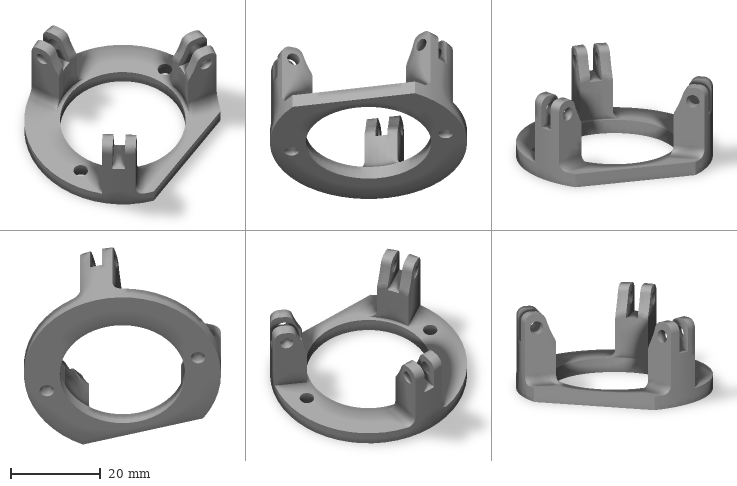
import cadquery as cq
import math

outer_radius = 22.0
bore_diameter = 28.0
flat_x = 17.02
base_height = 3.15
mount_hole_diameter = 3.2
mount_hole_offset = 17.5

total_height = 19.2
lug_inner_radius = 14.95
lug_width = 7.55
round_radius = 2.0
slot_width = 2.73
slot_floor = 12.2
pin_hole_diameter = 3.0
pin_hole_x = 18.95
pin_hole_z = 15.95

nose_x = 18.65
nose_z = total_height - round_radius
nose_end_angle = 163.0
slope_radius = 22.0
slope_sweep = 15.0


def polar_point(center, radius, angle):
    """Point at an angle in degrees, measured from +X, around a center."""
    return (
        center[0] + radius * math.cos(math.radians(angle)),
        center[1] + radius * math.sin(math.radians(angle)),
    )


def make_base():
    """Ring with one flat side and two mounting holes."""
    disc = cq.Workplane("XY").circle(outer_radius).extrude(base_height)
    keep = (
        cq.Workplane("XY")
        .box(outer_radius + flat_x, 2 * outer_radius, base_height, centered=(False, True, False))
        .translate((-outer_radius, 0, 0))
    )
    bore = cq.Workplane("XY").circle(bore_diameter / 2).extrude(base_height)
    mount_holes = (
        cq.Workplane("XY")
        .pushPoints([(0, mount_hole_offset), (0, -mount_hole_offset)])
        .circle(mount_hole_diameter / 2)
        .extrude(base_height)
    )
    return disc.intersect(keep).cut(bore).cut(mount_holes)


def make_lug_band():
    """Annulus that bounds the lugs and their root fillets."""
    return cq.Workplane("XY").circle(outer_radius).circle(lug_inner_radius).extrude(total_height)


def make_lug_body():
    """Solid lug with its sloped inner side and rounded edges."""
    nose = (nose_x, nose_z)
    nose_middle = polar_point(nose, round_radius, (90 + nose_end_angle) / 2)
    nose_end = polar_point(nose, round_radius, nose_end_angle)
    slope_center = polar_point(nose, round_radius + slope_radius, nose_end_angle)
    slope_start_angle = nose_end_angle - 180
    slope_middle = polar_point(slope_center, slope_radius, slope_start_angle - slope_sweep / 2)
    slope_end = polar_point(slope_center, slope_radius, slope_start_angle - slope_sweep)
    body = (
        cq.Workplane("XZ")
        .moveTo(outer_radius, 0)
        .lineTo(outer_radius, total_height)
        .lineTo(nose_x, total_height)
        .threePointArc(nose_middle, nose_end)
        .threePointArc(slope_middle, slope_end)
        .lineTo(slope_end[0], 0)
        .close()
        .extrude(lug_width / 2, both=True)
        .intersect(make_lug_band())
    )
    outer_top_edge = cq.selectors.NearestToPointSelector((outer_radius, 0, total_height))
    inner_slope_edge = cq.selectors.NearestToPointSelector((lug_inner_radius, 0, slope_foot_z(slope_center)))
    body = body.edges(inner_slope_edge).fillet(round_radius)
    return body.edges(outer_top_edge).fillet(round_radius)


def slope_foot_z(slope_center):
    """Height at which the concave slope meets the inner face of the lug."""
    radial_distance = lug_inner_radius - slope_center[0]
    return slope_center[1] - math.sqrt(slope_radius**2 - radial_distance**2)


def make_root_fillet(side):
    """Concave fillet between the base and the lug side at +Y (1) or -Y (-1)."""
    wall_y = side * lug_width / 2
    foot_y = wall_y + side * round_radius
    top_z = base_height + round_radius
    arc_middle = polar_point((foot_y, top_z), round_radius, -90 - side * 45)
    return (
        cq.Workplane("YZ")
        .moveTo(wall_y, 0)
        .lineTo(foot_y, 0)
        .lineTo(foot_y, base_height)
        .threePointArc(arc_middle, (wall_y, top_z))
        .close()
        .extrude(outer_radius)
        .intersect(make_lug_band())
    )


def make_lug(fillet_sides):
    """Slotted and drilled lug on the +X side of the ring."""
    slot = (
        cq.Workplane("XY")
        .box(outer_radius, slot_width, total_height - slot_floor, centered=(False, True, False))
        .translate((0, 0, slot_floor))
    )
    pin_hole = (
        cq.Workplane("XZ")
        .center(pin_hole_x, pin_hole_z)
        .circle(pin_hole_diameter / 2)
        .extrude(lug_width, both=True)
    )
    lug = make_lug_body().cut(slot).cut(pin_hole)
    for side in fillet_sides:
        lug = lug.union(make_root_fillet(side))
    return lug


lug_layout = [(180, (1, -1)), (60, (-1,)), (-60, (1,))]

result = make_base()
for lug_angle, fillet_sides in lug_layout:
    result = result.union(make_lug(fillet_sides).rotate((0, 0, 0), (0, 0, 1), lug_angle))